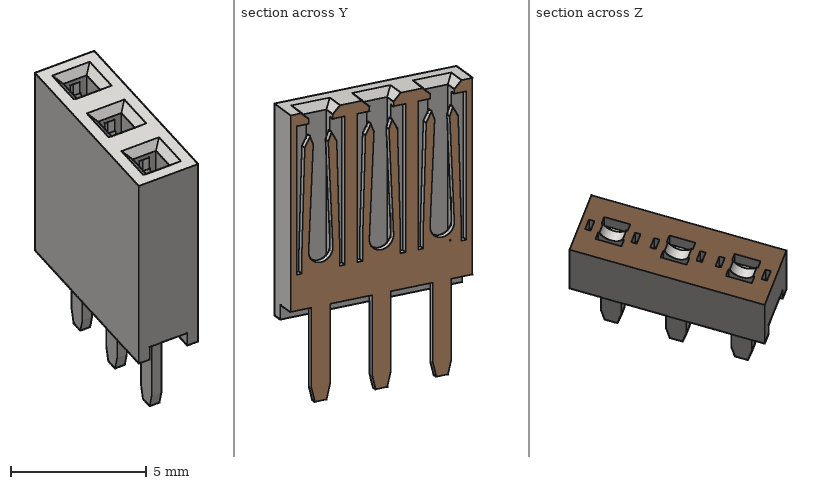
import cadquery as cq
import math

pin_count = 3
pitch = 2.54
total_height = 11.7
pin_length = 3.2
housing_length = pin_count * pitch
housing_height = total_height - pin_length
foot_slot_width = 1.6
foot_slot_height = 0.6

mouth_width = 1.6
cavity_width = 1.0
cavity_depth = 6.44
mouth_depth = (mouth_width - cavity_width) / 2
cavity_floor = housing_height - cavity_depth

contact_thickness = 0.42
pocket_width = 1.99
pocket_roof_depth = 0.5
fork_web = 0.3
fork_radius = cavity_width / 2
fork_half_width = fork_radius + fork_web
shoulder_height = cavity_floor + fork_web + fork_radius

tip_depth = 1.0
tip_half_gap = 0.45
throat_half_gap = 0.3
tip_outer_run = 0.23
tip_inner_angle = math.radians(69)
tip_outer_angle = math.radians(61)
tip_top = housing_height - tip_depth
throat_height = tip_top - (tip_half_gap - throat_half_gap) * math.tan(tip_inner_angle)
tip_outer_height = tip_top - tip_outer_run * math.tan(tip_outer_angle)

pin_width = 0.8
pin_end_width = 0.5
pin_taper_length = 0.6


def block(width, depth, bottom, top):
    """Upright block centred on the Z axis, between two heights."""
    height = top - bottom
    return cq.Workplane("XY", origin=(0, 0, bottom)).box(width, depth, height, centered=(True, True, False))


def mirrored(points):
    """The points reflected in x = 0, in reverse order."""
    return [(-x, z) for x, z in reversed(points)]


def cavity():
    """Square hole with a tapered mouth and a flat pocket for the contact."""
    hole = block(cavity_width, cavity_width, cavity_floor, housing_height)
    mouth = (
        cq.Workplane("XY", origin=(0, 0, housing_height))
        .rect(mouth_width, mouth_width)
        .workplane(offset=-mouth_depth)
        .rect(cavity_width, cavity_width)
        .loft()
    )
    pocket = block(pocket_width, contact_thickness, cavity_floor, housing_height - pocket_roof_depth)
    return hole.union(mouth).union(pocket)


def contact():
    """Fork standing on the cavity floor: two bowed arms joined by a round bottom."""
    right_arm = [
        (fork_half_width, cavity_floor),
        (fork_half_width, shoulder_height),
        (tip_half_gap + tip_outer_run, tip_outer_height),
        (tip_half_gap, tip_top),
        (throat_half_gap, throat_height),
        (fork_radius, shoulder_height),
    ]
    left_arm = mirrored(right_arm)
    return (
        cq.Workplane("XZ")
        .polyline(right_arm)
        .threePointArc((0, cavity_floor + fork_web), left_arm[0])
        .polyline(left_arm[1:], includeCurrent=True)
        .close()
        .extrude(contact_thickness / 2, both=True)
    )


def solder_pin():
    """Flat pin below the housing, tapered in width at its end."""
    right_side = [
        (pin_width / 2, foot_slot_height),
        (pin_width / 2, pin_taper_length - pin_length),
        (pin_end_width / 2, -pin_length),
    ]
    outline = right_side + mirrored(right_side)
    return cq.Workplane("XZ").polyline(outline).close().extrude(contact_thickness / 2, both=True)


housing = block(housing_length, pitch, 0, housing_height)
foot_slot = block(housing_length, foot_slot_width, 0, foot_slot_height)
result = housing.cut(foot_slot)

for index in range(pin_count):
    cell_center = ((index - (pin_count - 1) / 2) * pitch, 0, 0)
    result = result.cut(cavity().translate(cell_center))
    result = result.union(contact().translate(cell_center))
    result = result.union(solder_pin().translate(cell_center))